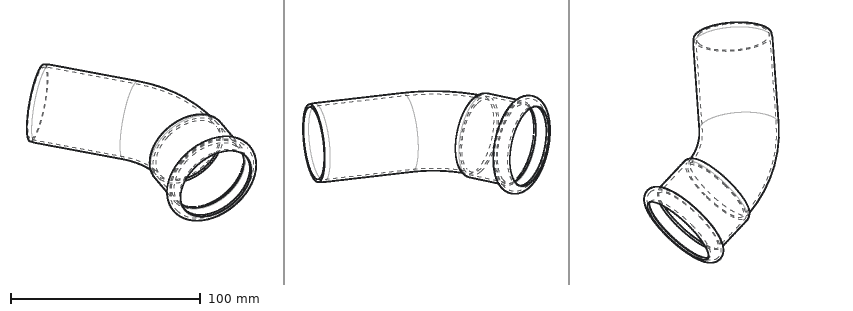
import cadquery as cq
import math

pipe_diameter = 42.0
bore_diameter = 39.0
bend_radius = 50.0
bend_angle = 45.0
leg_length = 51.0

taper_length = 2.7
taper_depth = 0.3

socket_diameter = 45.4
socket_bore = 42.4
socket_length = 33.2
shoulder_radius = 3.1
bend_start = shoulder_radius

bead_diameter = 52.7
bead_width = 9.2
mouth_diameter = 42.7

pipe_radius = pipe_diameter / 2
bore_radius = bore_diameter / 2
socket_radius = socket_diameter / 2
bead_radius = bead_width / 2
bead_start = socket_length - bead_width
bead_centre_radius = bead_diameter / 2 - bead_radius
wall = (socket_diameter - socket_bore) / 2


def bent_rod(radius):
    """Solid rod through the bend and down the straight leg, tapering inward at the spigot end."""
    bend = (
        cq.Workplane("YZ")
        .workplane(offset=bend_start)
        .circle(radius)
        .revolve(bend_angle, (-bend_radius, 0), (-bend_radius, 1))
    )
    leg = cq.Workplane(leg_plane()).circle(radius).extrude(leg_length - taper_length)
    tip = (
        cq.Workplane(leg_plane())
        .workplane(offset=leg_length - taper_length)
        .circle(radius)
        .workplane(offset=taper_length)
        .circle(radius - taper_depth)
        .loft(combine=False)
    )
    return bend.union(leg).union(tip)


def leg_plane():
    """Plane at the end of the bend, with its normal pointing down the leg."""
    angle = math.radians(bend_angle)
    origin = (
        bend_start - bend_radius * math.sin(angle),
        -bend_radius * (1 - math.cos(angle)),
        0,
    )
    return cq.Plane(origin=origin, xDir=(0, 0, 1), normal=(-math.cos(angle), -math.sin(angle), 0))


def turned(profile):
    """Revolve a closed profile (X along the axis, Y as radius) about the socket axis."""
    return profile.close().revolve(360, (0, 0), (1, 0))


def socket_body():
    """Socket with a rounded shoulder and a half-round bead at the mouth."""
    diagonal = shoulder_radius * math.sqrt(0.5)
    shoulder_middle = (shoulder_radius - diagonal, socket_radius - shoulder_radius + diagonal)
    profile = (
        cq.Workplane("XY")
        .moveTo(0, 0)
        .lineTo(0, socket_radius - shoulder_radius)
        .threePointArc(shoulder_middle, (shoulder_radius, socket_radius))
        .lineTo(bead_start, socket_radius)
        .lineTo(bead_start, bead_centre_radius)
        .threePointArc(
            (bead_start + bead_radius, bead_diameter / 2),
            (socket_length, bead_centre_radius),
        )
        .lineTo(socket_length, 0)
    )
    return turned(profile)


def socket_cavity():
    """Socket bore, with a hollow inside the bead and a slightly wider mouth."""
    groove_start = bead_start + wall
    groove_end = socket_length - wall
    profile = (
        cq.Workplane("XY")
        .moveTo(bend_start, 0)
        .lineTo(bend_start, socket_bore / 2)
        .lineTo(groove_start, socket_bore / 2)
        .lineTo(groove_start, bead_centre_radius)
        .threePointArc(
            (bead_start + bead_radius, bead_diameter / 2 - wall),
            (groove_end, bead_centre_radius),
        )
        .lineTo(groove_end, mouth_diameter / 2)
        .lineTo(socket_length, mouth_diameter / 2)
        .lineTo(socket_length, 0)
    )
    return turned(profile)


outside = bent_rod(pipe_radius).union(socket_body())
result = outside.cut(bent_rod(bore_radius)).cut(socket_cavity())